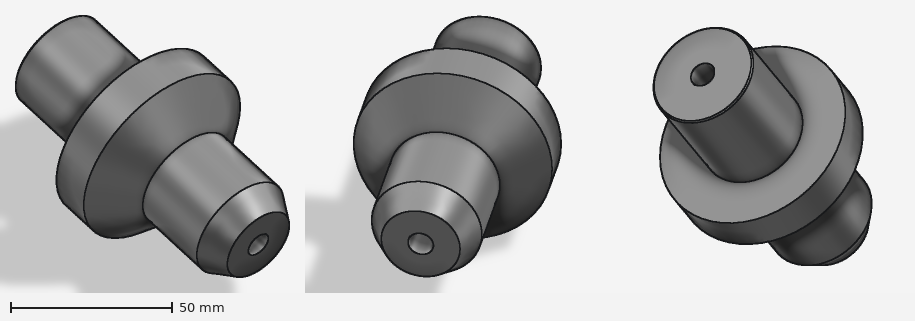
import cadquery as cq

total_length = 98.0
shank_length = 37.8
flange_thickness = 13.3
shoulder_length = 11.8
tip_length = 8.8

flange_diameter = 63.0
shank_diameter = 34.0
spigot_diameter = 35.0
tip_diameter = 25.0
bore_diameter = 8.0
shank_chamfer = 0.5

flange_end = shank_length + flange_thickness
shoulder_end = flange_end + shoulder_length
tip_start = total_length - tip_length

flange_radius = flange_diameter / 2
shank_radius = shank_diameter / 2
spigot_radius = spigot_diameter / 2
tip_radius = tip_diameter / 2


def make_body():
    """Revolve the stepped half profile about the X axis."""
    profile = [
        (0, 0),
        (0, shank_radius - shank_chamfer),
        (shank_chamfer, shank_radius),
        (shank_length, shank_radius),
        (shank_length, flange_radius),
        (flange_end, flange_radius),
        (shoulder_end, spigot_radius),
        (tip_start, spigot_radius),
        (total_length, tip_radius),
        (total_length, 0),
    ]
    return cq.Workplane("XY").polyline(profile).close().revolve(360, (0, 0, 0), (1, 0, 0))


def make_bore():
    """Axial bore running the full length."""
    return cq.Workplane("YZ").circle(bore_diameter / 2).extrude(total_length)


result = make_body().cut(make_bore())